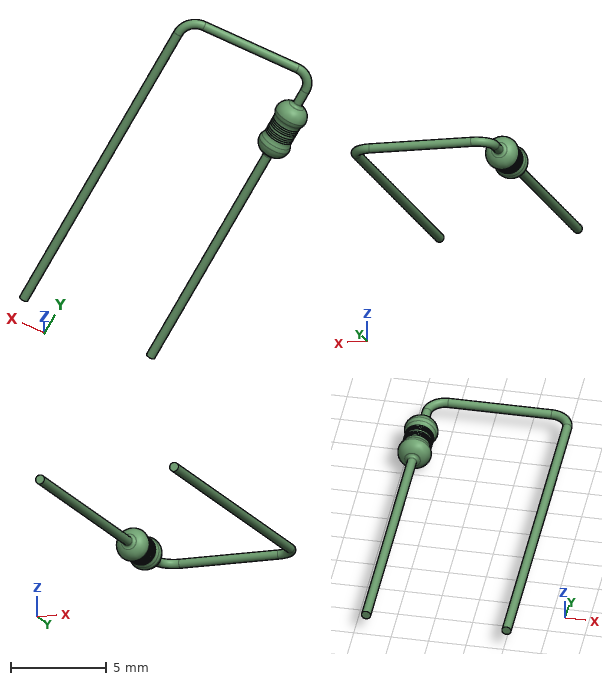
import cadquery as cq
import math

wire_diameter = 0.5
overall_width = 8.65
overall_length = 19.05
bend_radius = 1.0

bulb_diameter = 1.8
barrel_diameter = 1.52
band_diameter = 1.55
body_half_length = 1.75
body_center_from_top = 3.83
bulb_offset = 0.95
neck_radius = 0.17
shoulder_convex_length = 0.23

band_width = 0.11
band_offsets = (0.143, 0.371)

wire_radius = wire_diameter / 2
bulb_radius = bulb_diameter / 2
barrel_radius = barrel_diameter / 2
barrel_end = max(band_offsets) + band_width / 2
shoulder_length = bulb_offset - barrel_end

far_leg_x = overall_width - bulb_radius - wire_radius
crossbar_y = body_center_from_top - wire_radius
wire_end_y = body_center_from_top - overall_length


def make_wire():
    """Sweep the round wire along two legs, two bends and the crossbar."""
    bend_start_y = crossbar_y - bend_radius
    corner_inset = bend_radius * (1 - math.sqrt(0.5))
    path = (
        cq.Workplane("XY")
        .moveTo(0, wire_end_y)
        .lineTo(0, bend_start_y)
        .threePointArc((corner_inset, crossbar_y - corner_inset), (bend_radius, crossbar_y))
        .lineTo(far_leg_x - bend_radius, crossbar_y)
        .threePointArc((far_leg_x - corner_inset, crossbar_y - corner_inset), (far_leg_x, bend_start_y))
        .lineTo(far_leg_x, wire_end_y)
    )
    section = cq.Workplane("XZ", origin=(0, wire_end_y, 0)).circle(wire_radius)
    return section.sweep(path)


def make_body_with_end():
    """Revolve the full barrel with the +Y end: S-shaped shoulder, domed bulb and neck."""
    shoulder_concave_length = shoulder_length - shoulder_convex_length
    shoulder_drop = bulb_radius - barrel_radius
    inflection_radius = barrel_radius + shoulder_drop * shoulder_concave_length / shoulder_length
    inflection_y = bulb_offset - shoulder_convex_length
    neck_top = wire_radius + neck_radius
    profile = (
        cq.Workplane("XY")
        .moveTo(0, -barrel_end)
        .lineTo(barrel_radius, -barrel_end)
        .lineTo(barrel_radius, barrel_end)
        .tangentArcPoint((inflection_radius, inflection_y), relative=False)
        .tangentArcPoint((bulb_radius, bulb_offset), relative=False)
        .tangentArcPoint((neck_top, body_half_length - neck_radius), relative=False)
        .radiusArc((wire_radius, body_half_length), neck_radius)
        .lineTo(0, body_half_length)
        .close()
    )
    return profile.revolve(360, (0, 0, 0), (0, 1, 0))


def make_band(center_y):
    """Raised ring around the barrel, centred on center_y."""
    start = cq.Workplane("XZ", origin=(0, center_y + band_width / 2, 0))
    return start.circle(band_diameter / 2).extrude(band_width)


body_with_end = make_body_with_end()
opposite_end = body_with_end.rotate((0, 0, 0), (0, 0, 1), 180)
result = make_wire().union(body_with_end).union(opposite_end)
for offset in band_offsets:
    for side in (-1, 1):
        result = result.union(make_band(side * offset))